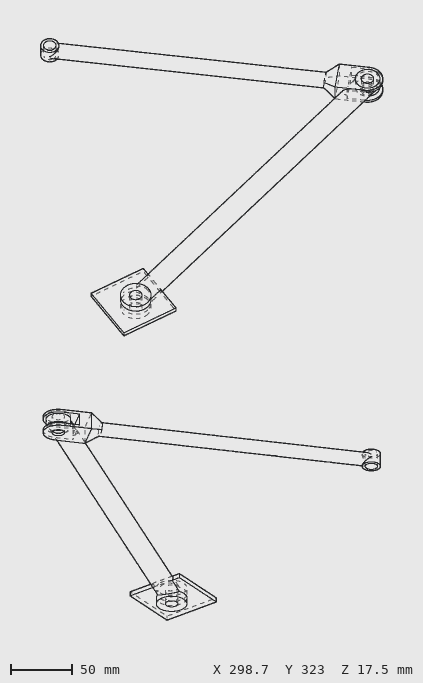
import cadquery as cq
import math

overall_y = 323

pivot_diameter = 10.0
rod_height = 10.0

plate_side = 50.0
plate_thickness = 4.0

main_length = 300.0
main_lean = math.radians(19)
main_rod_width = 20.0
hub_diameter = 25.0
hub_height = 15.0
eye_diameter = main_rod_width

fore_length = 260.5
fore_angle = 180 + 49.7
fore_rod_width = 15.0
tip_diameter = fore_rod_width
tip_height = 12.0

fork_width = 25.0
fork_height = 15.0
fork_length = 25.0
taper_length = 10.0
slot_height = rod_height
slot_depth = 15.0
cheek_thickness = (fork_height - slot_height) / 2

fore_level = (rod_height - fork_height) / 2
elbow_x = -main_length * math.sin(main_lean)
elbow_y = main_length * math.cos(main_lean)
main_angle = 90 + math.degrees(main_lean)
plate_offset_y = elbow_y + fork_width / 2 + plate_side / 2 - overall_y


def disc(diameter, height, x=0):
    """Vertical cylinder, centred on Z = 0."""
    return cq.Workplane("XY").center(x, 0).cylinder(height, diameter / 2)


def rod(width, start, end):
    """Elliptical bar along X."""
    return cq.Workplane("YZ", origin=(start, 0, 0)).ellipse(width / 2, rod_height / 2).extrude(end - start)


def at_elbow(body):
    """Place a body built along +X from its pivot as the forearm."""
    return body.rotate((0, 0, 0), (0, 0, 1), fore_angle).translate((elbow_x, elbow_y, fore_level))


def make_base():
    plate = cq.Workplane("XY").center(0, plate_offset_y).box(plate_side, plate_side, plate_thickness)
    return plate.union(disc(pivot_diameter, hub_height))


def make_fork():
    block = (
        cq.Workplane("XY")
        .box(fork_length, fork_width, fork_height, centered=(False, True, True))
        .union(disc(fork_width, fork_height))
    )
    taper = (
        cq.Workplane("YZ", origin=(fork_length, 0, 0))
        .rect(fork_width, fork_height)
        .workplane(offset=taper_length)
        .ellipse(fore_rod_width / 2, rod_height / 2)
        .loft()
    )
    slot_length = slot_depth + fork_width / 2
    slot = (
        cq.Workplane("XY")
        .center(slot_depth - slot_length / 2, 0)
        .box(slot_length, fork_width, slot_height)
    )
    eye_hole = disc(eye_diameter, cheek_thickness).translate((0, 0, (fork_height - cheek_thickness) / 2))
    return block.union(taper).cut(slot).cut(eye_hole).cut(disc(pivot_diameter, fork_height))


def make_forearm():
    bar = rod(fore_rod_width, fork_length + taper_length, fore_length)
    tip = disc(tip_diameter, tip_height, fore_length)
    tip_hole = disc(pivot_diameter, tip_height, fore_length)
    return at_elbow(make_fork().union(bar).union(tip).cut(tip_hole))


def make_main_arm(base, forearm):
    arm = (
        rod(main_rod_width, 0, main_length)
        .union(disc(hub_diameter, hub_height))
        .union(disc(eye_diameter, rod_height, main_length))
        .cut(disc(pivot_diameter, rod_height, main_length))
        .rotate((0, 0, 0), (0, 0, 1), main_angle)
    )
    return arm.cut(base).cut(forearm)


base = make_base()
forearm = make_forearm()
main_arm = make_main_arm(base, forearm)

result = cq.Compound.makeCompound([body.solids().val() for body in (base, main_arm, forearm)])